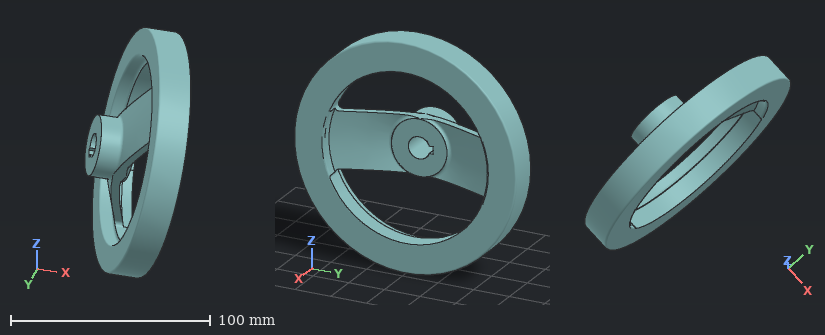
import cadquery as cq
import math


overall_length = 33.5
rim_width = 16.6
rim_radius = 62.5
rim_front_bore_radius = 48.1
rim_rear_bore_radius = 45.6
rim_front = overall_length - rim_width
edge_fillet = 1.0
selection_margin = 0.1

hub_radius = 15.6
hub_length = 18.0
bore_radius = 6.0
keyway_width = 4.0
keyway_reach = 7.9

web_start = 11.0
web_slope = 0.413
web_thickness = 4.4
web_fillet = 1.5
spoke_width = 31.4
window_radius = 46.1
window_corner_radius = 2.2


def web_front(radius):
    """Axial position of the front web face at a given radius."""
    return web_start + web_slope * (radius - hub_radius)


def revolve_profile(points):
    """Revolve a closed (x, radius) outline about the wheel axis."""
    return cq.Workplane("XY").polyline(points).close().revolve(360, (0, 0, 0), (1, 0, 0))


def wheel_blank():
    """Rim, dished web and hub as one turned body with rounded edges."""
    web_rear_at_hub = web_front(hub_radius) + web_thickness
    web_rear_at_rim = web_front(rim_rear_bore_radius) + web_thickness
    blank = revolve_profile([
        (0, 0),
        (0, hub_radius),
        (web_front(hub_radius), hub_radius),
        (web_front(rim_front_bore_radius), rim_front_bore_radius),
        (rim_front, rim_front_bore_radius),
        (rim_front, rim_radius),
        (overall_length, rim_radius),
        (overall_length, rim_rear_bore_radius),
        (web_rear_at_rim, rim_rear_bore_radius),
        (web_rear_at_hub, hub_radius),
        (hub_length, hub_radius),
        (hub_length, 0),
    ])

    def circle_at(x, radius):
        """Select the circular edge with this axial position and radius."""
        margin = selection_margin
        reach = radius + margin
        return cq.selectors.BoxSelector(
            (x - margin, -reach, -reach), (x + margin, reach, reach), boundingbox=True
        )

    rim_edges = circle_at(rim_front, rim_radius) + circle_at(overall_length, rim_radius)
    blank = blank.edges(rim_edges).fillet(edge_fillet)
    web_roots = circle_at(web_front(hub_radius), hub_radius) + circle_at(
        web_front(rim_front_bore_radius), rim_front_bore_radius
    )
    web_roots += circle_at(web_rear_at_hub, hub_radius)
    return blank.edges(web_roots).fillet(web_fillet)


def window(side):
    """Circular-segment opening above (+1) or below (-1) the spokes."""
    half_width = spoke_width / 2
    half_chord = math.sqrt(window_radius**2 - half_width**2)
    return (
        cq.Workplane("YZ")
        .moveTo(-half_chord, side * half_width)
        .lineTo(half_chord, side * half_width)
        .threePointArc((0, side * window_radius), (-half_chord, side * half_width))
        .close()
        .extrude(overall_length)
        .edges("|X")
        .fillet(window_corner_radius)
    )


def shaft_bore():
    """Through bore with a keyway on the +Y side."""
    bore = cq.Workplane("YZ").circle(bore_radius).extrude(overall_length)
    keyway = cq.Workplane("YZ").center(keyway_reach / 2, 0)
    keyway = keyway.rect(keyway_reach, keyway_width).extrude(overall_length)
    return bore.union(keyway)


result = wheel_blank().cut(window(1)).cut(window(-1)).cut(shaft_bore())